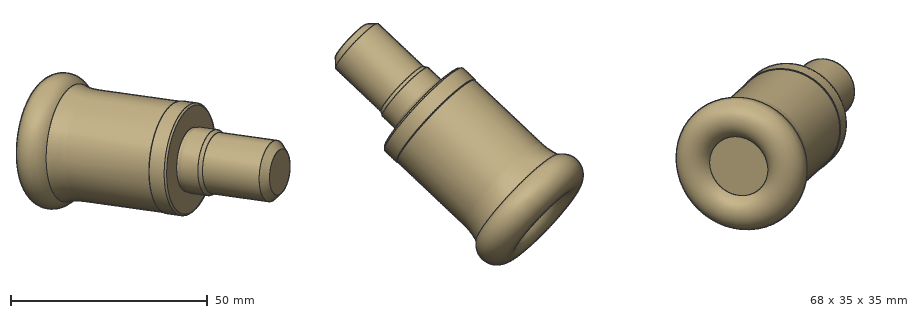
import cadquery as cq
import math

length = 68.0

grip_radius = 28.6 / 2
rim_outer_radius = 34.95 / 2
rim_bead_radius = 5.0
rim_centre_radius = rim_outer_radius - rim_bead_radius
rim_end_x = 9.25
flare_end_x = 14.35
recess_radius = 15.8 / 2

flange_start_x = 37.95
flange_end_x = 42.85
flange_radius = 29.0 / 2
flange_front_chamfer = flange_radius - grip_radius
flange_back_chamfer = 0.5
neck_end_x = 43.45
collar_full_x = 44.3
collar_end_x = 48.95
collar_radius = 17.0 / 2
neck_radius = 16.6 / 2
shank_start_x = 50.0
shank_radius = 15.8 / 2
shank_chamfer = 2.0


def bead_radius_at(x):
    """Distance from the axis to the outer half of the rim bead at x."""
    return rim_centre_radius + math.sqrt(rim_bead_radius**2 - (x - rim_bead_radius) ** 2)


def revolve_about_x(profile):
    """Turn a closed profile, drawn as (x, radius), around the X axis."""
    return profile.close().revolve(360, (0, 0, 0), (1, 0, 0))


def make_knob():
    rim_end_radius = bead_radius_at(rim_end_x)

    flare_run = flare_end_x - rim_end_x
    flare_rise = rim_end_radius - grip_radius
    flare_radius = (flare_run**2 + flare_rise**2) / (2 * flare_rise)
    mid_run = flare_run / 2
    flare_mid_radius = grip_radius + flare_radius - math.sqrt(flare_radius**2 - mid_run**2)

    bead_inset = rim_centre_radius - recess_radius
    recess_floor_x = rim_bead_radius - math.sqrt(rim_bead_radius**2 - bead_inset**2)

    profile = (
        cq.Workplane("XY")
        .moveTo(recess_floor_x, 0)
        .lineTo(recess_floor_x, recess_radius)
        .threePointArc((0, rim_centre_radius), (rim_end_x, rim_end_radius))
        .threePointArc((flare_end_x - mid_run, flare_mid_radius), (flare_end_x, grip_radius))
        .lineTo(flange_start_x, grip_radius)
        .lineTo(flange_start_x, 0)
    )
    return revolve_about_x(profile)


def make_base():
    profile = (
        cq.Workplane("XY")
        .moveTo(flange_start_x, 0)
        .lineTo(flange_start_x, flange_radius - flange_front_chamfer)
        .lineTo(flange_start_x + flange_front_chamfer, flange_radius)
        .lineTo(flange_end_x - flange_back_chamfer, flange_radius)
        .lineTo(flange_end_x, flange_radius - flange_back_chamfer)
        .lineTo(flange_end_x, neck_radius)
        .lineTo(neck_end_x, neck_radius)
        .lineTo(collar_full_x, collar_radius)
        .lineTo(collar_end_x, collar_radius)
        .lineTo(shank_start_x, shank_radius)
        .lineTo(length - shank_chamfer, shank_radius)
        .lineTo(length, shank_radius - shank_chamfer)
        .lineTo(length, 0)
    )
    return revolve_about_x(profile)


knob = make_knob()
base = make_base()
result = cq.Compound.makeCompound([knob.val(), base.val()])